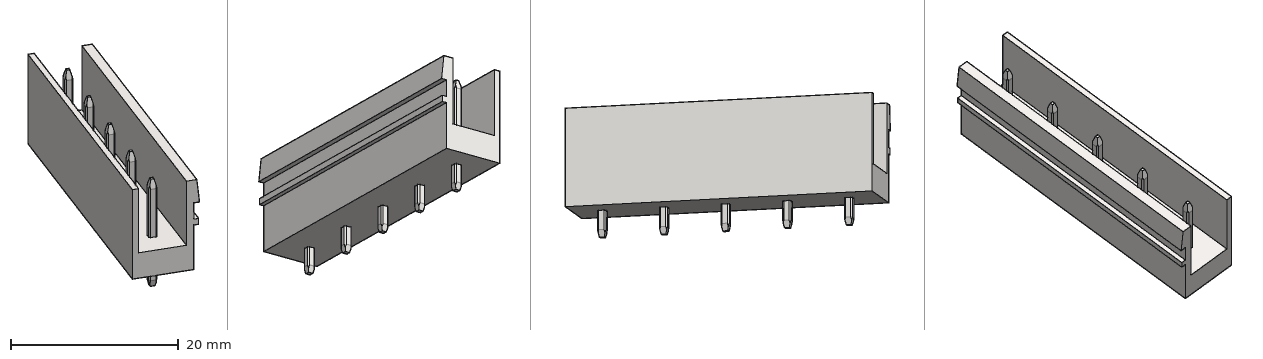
import cadquery as cq

LENGTH = 37.9
HEIGHT = 11.98
FLOOR_THICKNESS = 3.4
FRONT_WALL = 0.8
SLOT_WIDTH = 6.03
BACK_WALL = 0.95
BODY_DEPTH = FRONT_WALL + SLOT_WIDTH + BACK_WALL

HOOK_BOTTOM = 8.9
HOOK_PROJECTION = 0.72
HOOK_TOP_PROJECTION = 0.38

RAIL_BOTTOM = 5.95
RAIL_HEIGHT = 0.8
RAIL_PROJECTION = 0.6

PIN_COUNT = 5
PIN_PITCH = 7.6
FIRST_PIN_X = 3.6
PIN_Y = 3.8
PIN_WIDTH = 1.02
PIN_EDGE_CHAMFER = 0.2
PIN_TOP = 11.05
PIN_TAIL = 3.22
TOP_TAPER_HEIGHT = 1.2
TOP_TIP_WIDTH = 0.38
TAIL_TAPER_HEIGHT = 0.87
TAIL_TIP_WIDTH = 0.6

PIN_POSITIONS = [(FIRST_PIN_X + i * PIN_PITCH, PIN_Y) for i in range(PIN_COUNT)]


def chamfered_bar(bottom, top):
    """Upright square bar on the Z axis with its four long edges chamfered."""
    return (
        cq.Workplane("XY", origin=(0, 0, bottom))
        .rect(PIN_WIDTH, PIN_WIDTH)
        .extrude(top - bottom)
        .edges("|Z")
        .chamfer(PIN_EDGE_CHAMFER)
    )


def square_frustum(bottom, bottom_width, top, top_width):
    """Square section on the Z axis that changes width between two heights."""
    return (
        cq.Workplane("XY", origin=(0, 0, bottom))
        .rect(bottom_width, bottom_width)
        .workplane(offset=top - bottom)
        .rect(top_width, top_width)
        .loft(ruled=True)
    )


def make_pin():
    """One pin: the chamfered bar trimmed by an envelope that tapers at both ends."""
    tail_shoulder = TAIL_TAPER_HEIGHT - PIN_TAIL
    top_shoulder = PIN_TOP - TOP_TAPER_HEIGHT
    envelope = (
        square_frustum(-PIN_TAIL, TAIL_TIP_WIDTH, tail_shoulder, PIN_WIDTH)
        .union(square_frustum(tail_shoulder, PIN_WIDTH, top_shoulder, PIN_WIDTH))
        .union(square_frustum(top_shoulder, PIN_WIDTH, PIN_TOP, TOP_TIP_WIDTH))
    )
    return chamfered_bar(-PIN_TAIL, PIN_TOP).intersect(envelope)


def make_housing():
    """Channel with hook and rail on its back, and a matching hole for every pin."""
    slot_back = FRONT_WALL + SLOT_WIDTH
    rail_top = RAIL_BOTTOM + RAIL_HEIGHT
    profile = [
        (0, 0),
        (BODY_DEPTH, 0),
        (BODY_DEPTH, RAIL_BOTTOM),
        (BODY_DEPTH + RAIL_PROJECTION, RAIL_BOTTOM),
        (BODY_DEPTH + RAIL_PROJECTION, rail_top),
        (BODY_DEPTH, rail_top),
        (BODY_DEPTH, HOOK_BOTTOM),
        (BODY_DEPTH + HOOK_PROJECTION, HOOK_BOTTOM),
        (BODY_DEPTH + HOOK_TOP_PROJECTION, HEIGHT),
        (slot_back, HEIGHT),
        (slot_back, FLOOR_THICKNESS),
        (FRONT_WALL, FLOOR_THICKNESS),
        (FRONT_WALL, HEIGHT),
        (0, HEIGHT),
    ]
    body = cq.Workplane("YZ").polyline(profile).close().extrude(LENGTH)
    pin_hole = chamfered_bar(0, FLOOR_THICKNESS)
    for x, y in PIN_POSITIONS:
        body = body.cut(pin_hole.translate((x, y, 0)))
    return body


housing = make_housing()
pin = make_pin()
pins = [pin.translate((x, y, 0)).val() for x, y in PIN_POSITIONS]
pin_solids = [solid for placed in pins for solid in placed.Solids()]

result = cq.Compound.makeCompound([housing.val(), *pin_solids])